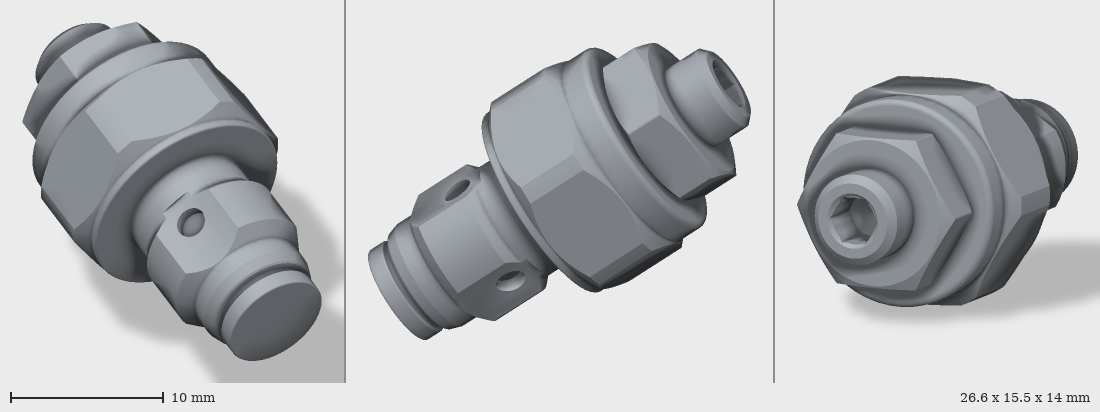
import cadquery as cq
import math


SCREW_RADIUS = 3.0
SCREW_CHAMFER = 0.5
SCREW_ENGAGEMENT = 2 * SCREW_RADIUS
SOCKET_FLATS = 3.0
SOCKET_DEPTH = 3.0
SOCKET_MOUTH_RADIUS = 1.84
SOCKET_MOUTH_CHAMFER = 0.25
DRILL_RADIUS = 1.55
DRILL_POINT_ANGLE = 120.0

NUT_START = 3.0
NUT_LENGTH = 3.5
NUT_FLATS = 10.0
NUT_CORNER_RADIUS = 5.75
NUT_FACE_RADIUS = 4.87
NUT_CHAMFER_ANGLE = 30.0

FLANGE_LENGTH = 2.0
FLANGE_RADIUS = 6.92
FLANGE_FILLET = 0.4
HEX_LENGTH = 5.9
HEX_FLATS = 14.0
HEX_CORNER_RADIUS = 7.75
COLLAR_LENGTH = 0.59
COLLAR_FILLET = 0.13

NECK_RADIUS = 4.2
NECK_LENGTH = 2.47
NECK_FILLET = 0.15
BAND_RADIUS = 4.85
BAND_LENGTH = 3.8

NOSE_RADIUS = 3.96
NOSE_LENGTH = 1.25
NOSE_TAPER_LENGTH = 0.75
NOSE_TIP_RADIUS = 3.72
NOSE_TIP_CHAMFER = 0.1
GROOVE_RADIUS = 3.05
GROOVE_WIDTH = 0.5
GROOVE_FILLET = 0.19
RING_RADIUS = 3.48
RING_FILLET = 0.1
TOTAL_LENGTH = 26.6

PORT_FACE_ANGLES = (0.0, 120.0, 240.0)
PORT_FACE_OFFSET = 4.0
PORT_FACE_HOLLOW_RADIUS = 9.58
PORT_FACE_LEAD = 0.45
PORT_RADIUS = 1.0
PORT_DEPTH = 0.88
PORT_INSET = 0.88

HOUSING_START = NUT_START + NUT_LENGTH
SCREW_END = HOUSING_START + SCREW_ENGAGEMENT
HEX_START = HOUSING_START + FLANGE_LENGTH
HEX_END = HEX_START + HEX_LENGTH
COLLAR_END = HEX_END + COLLAR_LENGTH
NECK_END = COLLAR_END + NECK_LENGTH
BAND_START = NECK_END + BAND_RADIUS - NECK_RADIUS
BAND_END = BAND_START + BAND_LENGTH
NOSE_START = BAND_END + BAND_RADIUS - NOSE_RADIUS
TAPER_START = NOSE_START + NOSE_LENGTH
TAPER_END = TAPER_START + NOSE_TAPER_LENGTH
GROOVE_START = TAPER_END + NOSE_TIP_CHAMFER
GROOVE_END = GROOVE_START + GROOVE_WIDTH


def turned(points):
    """Solid of revolution about X of a closed (x, radius) outline."""
    return cq.Workplane("XY").polyline(points).close().revolve(360, (0, 0, 0), (1, 0, 0))


def cylinder(start, end, radius):
    return cq.Workplane("YZ", origin=(start, 0, 0)).circle(radius).extrude(end - start)


def hexagon(start, end, across_flats):
    """Hexagonal bar along X with flats facing +Z and -Z."""
    across_corners = across_flats / math.cos(math.pi / 6)
    return cq.Workplane("YZ", origin=(start, 0, 0)).polygon(6, across_corners).extrude(end - start)


def make_screw():
    body = cylinder(0, SCREW_END, SCREW_RADIUS).faces("<X").chamfer(SCREW_CHAMFER)
    hex_recess = hexagon(0, SOCKET_DEPTH, SOCKET_FLATS)
    point_length = DRILL_RADIUS / math.tan(math.radians(DRILL_POINT_ANGLE / 2))
    drill = turned([
        (0, 0),
        (0, DRILL_RADIUS),
        (SOCKET_DEPTH, DRILL_RADIUS),
        (SOCKET_DEPTH + point_length, 0),
    ])
    mouth = turned([
        (0, 0),
        (0, SOCKET_MOUTH_RADIUS),
        (SOCKET_MOUTH_CHAMFER, SOCKET_MOUTH_RADIUS - SOCKET_MOUTH_CHAMFER),
        (SOCKET_MOUTH_CHAMFER, 0),
    ])
    return body.cut(hex_recess).cut(drill).cut(mouth)


def make_lock_nut():
    """Hexagon nut with conical chamfers on both faces and a bore that fits the screw."""
    chamfer_length = (NUT_CORNER_RADIUS - NUT_FACE_RADIUS) * math.tan(math.radians(NUT_CHAMFER_ANGLE))
    envelope = turned([
        (NUT_START, 0),
        (NUT_START, NUT_FACE_RADIUS),
        (NUT_START + chamfer_length, NUT_CORNER_RADIUS),
        (HOUSING_START - chamfer_length, NUT_CORNER_RADIUS),
        (HOUSING_START, NUT_FACE_RADIUS),
        (HOUSING_START, 0),
    ])
    bar = hexagon(NUT_START, HOUSING_START, NUT_FLATS)
    return bar.intersect(envelope).cut(cylinder(NUT_START, HOUSING_START, SCREW_RADIUS))


def make_housing_hexagon():
    """Large hexagon with turned corners and 45 degree end cones."""
    cone_length = HEX_CORNER_RADIUS - FLANGE_RADIUS
    envelope = turned([
        (HEX_START, 0),
        (HEX_START, FLANGE_RADIUS),
        (HEX_START + cone_length, HEX_CORNER_RADIUS),
        (HEX_END - cone_length, HEX_CORNER_RADIUS),
        (HEX_END, FLANGE_RADIUS),
        (HEX_END, 0),
    ])
    return hexagon(HEX_START, HEX_END, HEX_FLATS).intersect(envelope)


def make_flange_and_collar():
    flange = cylinder(HOUSING_START, COLLAR_END, FLANGE_RADIUS)
    return flange.faces("<X").edges().fillet(FLANGE_FILLET).faces(">X").edges().fillet(COLLAR_FILLET)


def make_turned_barrel():
    """Neck, ported band, nose, retaining groove and end ring."""
    profile = (
        cq.Workplane("XY")
        .moveTo(HEX_END, 0)
        .lineTo(HEX_END, NECK_RADIUS + NECK_FILLET)
        .lineTo(COLLAR_END, NECK_RADIUS + NECK_FILLET)
        .radiusArc((COLLAR_END + NECK_FILLET, NECK_RADIUS), -NECK_FILLET)
        .lineTo(NECK_END, NECK_RADIUS)
        .lineTo(BAND_START, BAND_RADIUS)
        .lineTo(BAND_END, BAND_RADIUS)
        .lineTo(NOSE_START, NOSE_RADIUS)
        .lineTo(TAPER_START, NOSE_RADIUS)
        .lineTo(TAPER_END, NOSE_TIP_RADIUS)
        .lineTo(GROOVE_START, NOSE_TIP_RADIUS - NOSE_TIP_CHAMFER)
        .lineTo(GROOVE_START, GROOVE_RADIUS + GROOVE_FILLET)
        .radiusArc((GROOVE_START + GROOVE_FILLET, GROOVE_RADIUS), -GROOVE_FILLET)
        .lineTo(GROOVE_END - GROOVE_FILLET, GROOVE_RADIUS)
        .radiusArc((GROOVE_END, GROOVE_RADIUS + GROOVE_FILLET), -GROOVE_FILLET)
        .lineTo(GROOVE_END, RING_RADIUS - RING_FILLET)
        .radiusArc((GROOVE_END + RING_FILLET, RING_RADIUS), RING_FILLET)
        .lineTo(TOTAL_LENGTH - RING_FILLET, RING_RADIUS)
        .radiusArc((TOTAL_LENGTH, RING_RADIUS - RING_FILLET), RING_FILLET)
        .lineTo(TOTAL_LENGTH, 0)
        .close()
    )
    return profile.revolve(360, (0, 0, 0), (1, 0, 0))


def make_port_cutter():
    """Cutter for one hollow port face and its blind port, on the +Y side."""
    face_start = NECK_END - PORT_FACE_LEAD
    hollow = cylinder(face_start, NOSE_START, PORT_FACE_HOLLOW_RADIUS)
    hollow = hollow.translate((0, PORT_FACE_OFFSET + PORT_FACE_HOLLOW_RADIUS, 0))
    port = (
        cq.Workplane("XZ", origin=(BAND_START + PORT_INSET, PORT_FACE_OFFSET - PORT_DEPTH, 0))
        .circle(PORT_RADIUS)
        .extrude(-2 * PORT_DEPTH)
    )
    return hollow.union(port)


def make_housing():
    body = make_flange_and_collar().union(make_housing_hexagon()).union(make_turned_barrel())
    cutter = make_port_cutter()
    for angle in PORT_FACE_ANGLES:
        body = body.cut(cutter.rotate((0, 0, 0), (1, 0, 0), angle))
    return body.cut(cylinder(HOUSING_START, SCREW_END, SCREW_RADIUS))


screw = make_screw()
lock_nut = make_lock_nut()
housing = make_housing()

result = cq.Compound.makeCompound([screw.val(), lock_nut.val(), housing.val()])